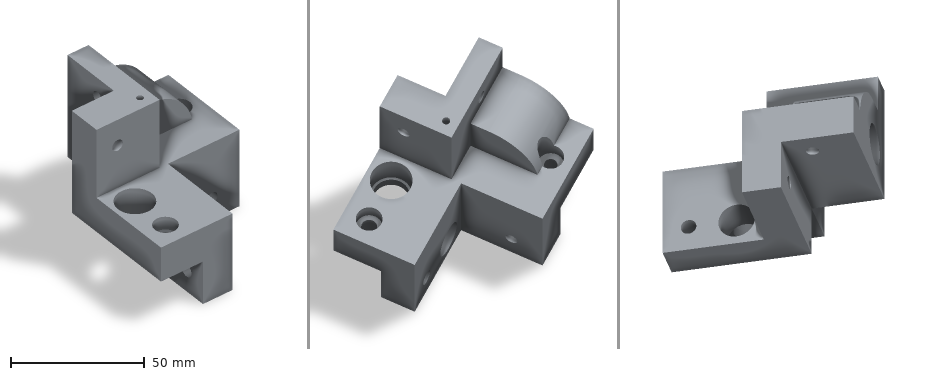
import cadquery as cq

SIZE_X = 82.0
SIZE_Y = 68.0
SIZE_Z = 68.0

CORNER_X = 28.0
CORNER_Y = 20.0
CORNER_Z = 20.0

SIDE_WALL_X = 43.0
UPPER_WALL_Y = 30.0
LOWER_WALL_Y = 34.0
FLOOR_TOP_Z = 36.0

HOUSING_LENGTH = 27.0
HOUSING_Y = 58.3
HOUSING_TOP_Z = 53.0
HOUSING_RADIUS = 20.6
BORE_Y = 35.0
BORE_Z = 35.0
BORE_DIAMETER = 16.0
BORE_DEPTH = 20.0
PILOT_DIAMETER = 9.0
PILOT_DEPTH = 4.0

MAIN_HOLE_X = 53.5
MAIN_HOLE_DIAMETER = 14.0
SEAT_DIAMETER = 16.0
SEAT_DEPTH = 12.0

FLANGE_MIDDLE = 10.0
SCREW_DIAMETER = 5.0
LARGE_SCREW_DIAMETER = 6.0
HEAD_DIAMETER = 10.0
HEAD_DEPTH = 6.0
LARGE_SCREW_X = 72.0
WALL_SCREW_X = 18.0
WALL_SCREW_INSET = 9.0
SIDE_SCREW_Z = 56.0
BOTTOM_SCREW_Y = 55.0
TOP_HOLE_X = 37.5
TOP_HOLE_DIAMETER = 3.0
TOP_HOLE_DEPTH = 10.0


def block(x_range, y_range, z_range):
    """Box between the given limits on each axis."""
    lengths = [high - low for low, high in (x_range, y_range, z_range)]
    start = (x_range[0], y_range[0], z_range[0])
    return cq.Workplane("XY").box(*lengths, centered=False).translate(start)


def rod(start, direction, diameter, length):
    """Cylinder that begins at start and runs along direction."""
    return cq.Workplane(
        cq.Solid.makeCylinder(diameter / 2, length, cq.Vector(*start), cq.Vector(*direction))
    )


def make_walls():
    """Two walls and a floor, each running past the shared corner."""
    side_x = (CORNER_X, SIDE_WALL_X)
    floor_z = (CORNER_Z, FLOOR_TOP_Z)
    side_upper = block(side_x, (0, UPPER_WALL_Y), (CORNER_Z, SIZE_Z))
    side_lower = block(side_x, (CORNER_Y, SIZE_Y), (0, FLOOR_TOP_Z))
    wall_upper = block((0, SIDE_WALL_X), (CORNER_Y, UPPER_WALL_Y), (CORNER_Z, SIZE_Z))
    wall_lower = block((CORNER_X, SIZE_X), (CORNER_Y, LOWER_WALL_Y), (0, FLOOR_TOP_Z))
    floor_left = block((0, SIDE_WALL_X), (CORNER_Y, SIZE_Y), floor_z)
    floor_right = block((CORNER_X, SIZE_X), (0, LOWER_WALL_Y), floor_z)
    walls = side_upper
    for piece in (side_lower, wall_upper, wall_lower, floor_left, floor_right):
        walls = walls.union(piece)
    return walls


def make_housing():
    """Block behind the upper wall with its outer top edge rounded."""
    housing = block((0, HOUSING_LENGTH), (CORNER_Y, HOUSING_Y), (CORNER_Z, HOUSING_TOP_Z))
    return housing.edges("|X and >Y and >Z").fillet(HOUSING_RADIUS)


def cut_bore(body):
    """Blind bore along X with a smaller pilot hole in its end."""
    bore = rod((0, BORE_Y, BORE_Z), (1, 0, 0), BORE_DIAMETER, BORE_DEPTH)
    pilot = rod((BORE_DEPTH, BORE_Y, BORE_Z), (1, 0, 0), PILOT_DIAMETER, PILOT_DEPTH)
    return body.cut(bore).cut(pilot)


def cut_floor_hole(body, x, y, diameter, seat_diameter, seat_depth):
    """Vertical hole through the floor, with a seat sunk from above that also clears the housing."""
    hole = rod((x, y, 0), (0, 0, 1), diameter, FLOOR_TOP_Z)
    seat = rod((x, y, FLOOR_TOP_Z - seat_depth), (0, 0, 1), seat_diameter, SIZE_Z)
    return body.cut(hole).cut(seat)


def cut_floor_holes(body):
    """Large hole and two screw holes through the floor, each with a wider seat."""
    screw_y = SIZE_Y - WALL_SCREW_INSET
    body = cut_floor_hole(
        body, MAIN_HOLE_X, FLANGE_MIDDLE, MAIN_HOLE_DIAMETER, SEAT_DIAMETER, SEAT_DEPTH
    )
    body = cut_floor_hole(
        body, LARGE_SCREW_X, FLANGE_MIDDLE, LARGE_SCREW_DIAMETER, HEAD_DIAMETER, HEAD_DEPTH
    )
    return cut_floor_hole(body, WALL_SCREW_X, screw_y, SCREW_DIAMETER, HEAD_DIAMETER, HEAD_DEPTH)


def cut_wall_holes(body):
    """Plain through holes along Y and along X, and a blind hole in the top."""
    along_y = (
        (MAIN_HOLE_X, FLANGE_MIDDLE, MAIN_HOLE_DIAMETER),
        (LARGE_SCREW_X, FLANGE_MIDDLE, LARGE_SCREW_DIAMETER),
        (WALL_SCREW_X, SIZE_Z - WALL_SCREW_INSET, SCREW_DIAMETER),
    )
    for x, z, diameter in along_y:
        body = body.cut(rod((x, 0, z), (0, 1, 0), diameter, SIZE_Y))
    along_x = (
        (FLANGE_MIDDLE, SIDE_SCREW_Z),
        (BOTTOM_SCREW_Y, FLANGE_MIDDLE),
    )
    for y, z in along_x:
        body = body.cut(rod((0, y, z), (1, 0, 0), SCREW_DIAMETER, SIZE_X))
    top_hole_y = (CORNER_Y + UPPER_WALL_Y) / 2
    return body.cut(rod((TOP_HOLE_X, top_hole_y, SIZE_Z), (0, 0, -1), TOP_HOLE_DIAMETER, TOP_HOLE_DEPTH))


body = make_walls().union(make_housing())
body = cut_bore(body)
body = cut_floor_holes(body)
result = cut_wall_holes(body)